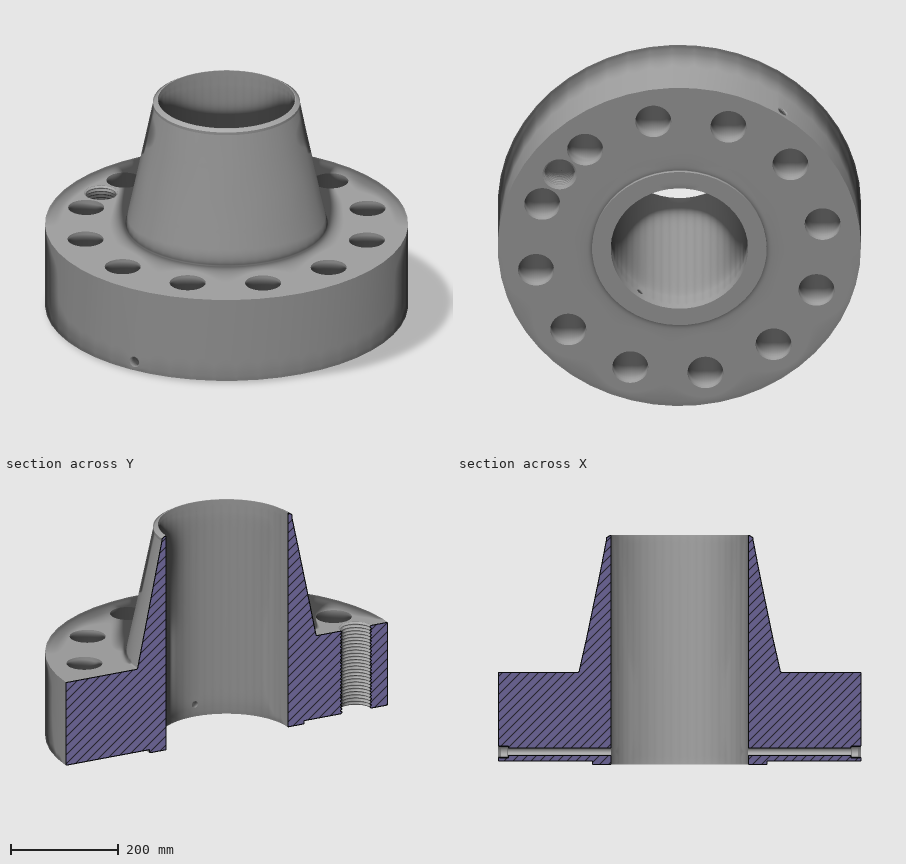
import cadquery as cq
import math

INCH = 25.4

flange_diameter = 26.5 * INCH
flange_thickness = 6.5 * INCH
raised_face_diameter = 12.75 * INCH
raised_face_height = 0.25 * INCH
flange_top = raised_face_height + flange_thickness
overall_height = 16.75 * INCH

hub_base_diameter = 14.75 * INCH
hub_base_fillet = 3.0
weld_end_diameter = 10.75 * INCH
weld_end_length = 10.0
weld_bevel_height = 4.6
weld_land_width = 1.6
bore_diameter = 10.02 * INCH

bolt_circle_diameter = 21.25 * INCH
bolt_hole_diameter = 2.625 * INCH
bolt_count = 12

jack_minor_diameter = 57.0
jack_major_diameter = 2.5 * INCH
jack_pitch = INCH / 4

tap_height = 15 / 16 * INCH
tap_drill_diameter = 0.5 * INCH
tap_minor_diameter = 18.4
tap_major_diameter = 21.3
tap_pitch = INCH / 14
tap_turns = 11

root_flat = 0.125


def flange_body():
    """Flange, raised face, hub and bore as one turned shape."""
    bore_radius = bore_diameter / 2
    weld_end_radius = weld_end_diameter / 2
    profile = (
        cq.Workplane("XZ")
        .moveTo(bore_radius, 0)
        .lineTo(raised_face_diameter / 2, 0)
        .lineTo(raised_face_diameter / 2, raised_face_height)
        .lineTo(flange_diameter / 2, raised_face_height)
        .lineTo(flange_diameter / 2, flange_top)
        .lineTo(hub_base_diameter / 2, flange_top)
        .lineTo(weld_end_radius, overall_height - weld_end_length)
        .lineTo(weld_end_radius, overall_height - weld_bevel_height)
        .lineTo(bore_radius + weld_land_width, overall_height)
        .lineTo(bore_radius, overall_height)
        .close()
    )
    body = profile.revolve(360, (0, 0, 0), (0, 1, 0))
    reach = hub_base_diameter / 2 + 1
    hub_root = cq.selectors.BoxSelector(
        (-reach, -reach, flange_top - 1), (reach, reach, flange_top + 1), boundingbox=True
    )
    return body.edges(hub_root).fillet(hub_base_fillet)


def bolt_holes():
    return (
        cq.Workplane("XY")
        .polarArray(bolt_circle_diameter / 2, 180 / bolt_count, 360, bolt_count)
        .circle(bolt_hole_diameter / 2)
        .extrude(flange_top)
    )


def threaded_hole(minor_diameter, major_diameter, pitch, turns):
    """Plug along +Z from Z = 0 whose thread is a stack of V-shaped rings, one per pitch."""
    minor_radius = minor_diameter / 2
    major_radius = major_diameter / 2
    root_half = root_flat * pitch / 2
    crest_half = pitch / 2 - root_half
    outline = cq.Workplane("XZ").moveTo(0, 0).lineTo(minor_radius, 0)
    for turn in range(turns):
        middle = (turn + 0.5) * pitch
        outline = (
            outline.lineTo(minor_radius, middle - crest_half)
            .lineTo(major_radius, middle - root_half)
            .lineTo(major_radius, middle + root_half)
            .lineTo(minor_radius, middle + crest_half)
        )
    outline = outline.lineTo(minor_radius, turns * pitch).lineTo(0, turns * pitch).close()
    return outline.revolve(360, (0, 0, 0), (0, 1, 0))


def jack_screw_hole():
    """Thread through the whole flange, its top ring opening at the flange top."""
    turns = math.ceil(flange_thickness / jack_pitch) + 1
    plug = threaded_hole(jack_minor_diameter, jack_major_diameter, jack_pitch, turns)
    start = flange_top - (turns - 0.5) * jack_pitch
    return plug.translate((-bolt_circle_diameter / 2, 0, start))


def pressure_tap():
    """Tapped hole along +Z, from just outside the flange rim at Z = 0 to the flange axis."""
    thread = threaded_hole(tap_minor_diameter, tap_major_diameter, tap_pitch, tap_turns)
    drill = cq.Workplane("XY").circle(tap_drill_diameter / 2).extrude(flange_diameter / 2)
    return thread.translate((0, 0, -tap_pitch / 2)).union(drill)


def cut_pressure_taps(body):
    tap = pressure_tap().translate((0, 0, -flange_diameter / 2))
    for tilt in (90, -90):
        radial = tap.rotate((0, 0, 0), (1, 0, 0), tilt)
        body = body.cut(radial.translate((0, 0, tap_height)))
    return body


drilled = flange_body().cut(bolt_holes()).cut(jack_screw_hole())
result = cq.Workplane(cut_pressure_taps(drilled).solids().val())